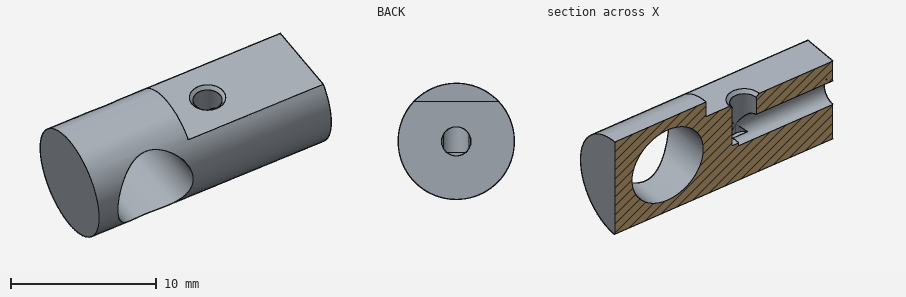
import cadquery as cq

length = 18.5
bar_diameter = 8.0
bar_radius = bar_diameter / 2

flat_length = 10.75
flat_height = 2.74
flat_start = length - flat_length

cross_diameter = 6.0
cross_y = 4.5

screw_diameter = 2.0
countersink_diameter = 2.5
countersink_angle = 90.0
screw_y = 10.99
screw_depth = 3.5

bore_diameter = 2.0
bore_end_y = 10.5
bore_depth = length - bore_end_y


def make_bar():
    return cq.Workplane("XZ").circle(bar_radius).extrude(-length)


def make_flat_cutter():
    return cq.Workplane("XY").box(
        bar_diameter, flat_length, bar_radius, centered=(True, False, False)
    ).translate((0, flat_start, flat_height))


def make_cross_hole():
    return (
        cq.Workplane("YZ")
        .center(cross_y, 0)
        .circle(cross_diameter / 2)
        .extrude(bar_radius, both=True)
    )


def make_axial_bore():
    return (
        cq.Workplane("XZ", origin=(0, length, 0))
        .circle(bore_diameter / 2)
        .extrude(bore_depth)
    )


def cut_screw_hole(body):
    return (
        body.copyWorkplane(cq.Workplane("XY", origin=(0, screw_y, flat_height)))
        .cskHole(screw_diameter, countersink_diameter, countersink_angle, depth=screw_depth)
    )


body = make_bar().cut(make_flat_cutter()).cut(make_cross_hole())
result = cut_screw_hole(body).cut(make_axial_bore())